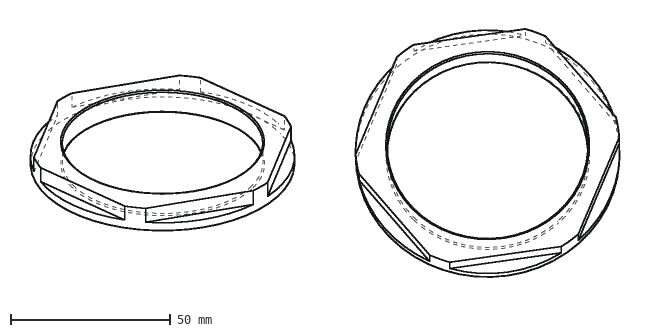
import cadquery as cq

outer_diameter = 83.0
total_height = 8.0
flange_thickness = 2.9
hex_across_flats = 75.0
bore_diameter = 63.0
bore_chamfer = 0.5

hex_side_count = 6


def round_blank():
    return cq.Workplane("XY").circle(outer_diameter / 2).extrude(total_height)


def hex_envelope():
    """Hexagonal prism above the flange."""
    return (
        cq.Workplane("XY")
        .workplane(offset=flange_thickness)
        .polygon(hex_side_count, hex_across_flats, circumscribed=True)
        .extrude(total_height - flange_thickness)
    )


def flange():
    return cq.Workplane("XY").circle(outer_diameter / 2).extrude(flange_thickness)


def bore():
    """Through bore that widens at both ends."""
    radius = bore_diameter / 2
    half_section = [
        (0, 0),
        (radius + bore_chamfer, 0),
        (radius, bore_chamfer),
        (radius, total_height - bore_chamfer),
        (radius + bore_chamfer, total_height),
        (0, total_height),
    ]
    return cq.Workplane("XZ").polyline(half_section).close().revolve(360, (0, 0), (0, 1))


hex_body = round_blank().intersect(hex_envelope())
result = flange().union(hex_body).cut(bore())